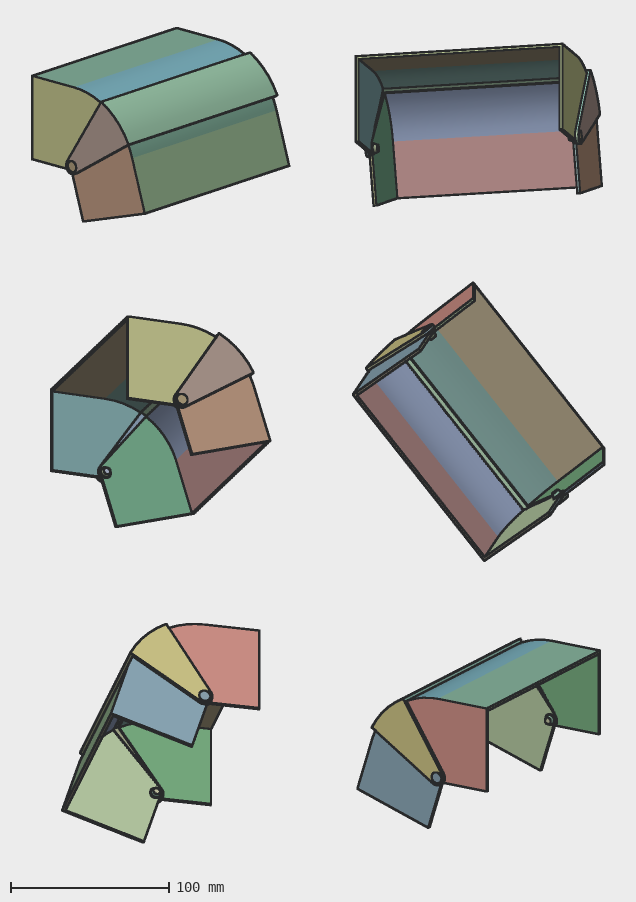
import cadquery as cq
import math

cover_width = 139.6
cover_radius = 54.5
wall = 2.0
side_clearance = 0.1
shell_width = cover_width - 2 * (wall + side_clearance)
shell_radius = 52.1
lap = wall / 2
straight_length = 36.0
skirt_drop = 3.4
ear_radius = 5.0

visor_angle = 17.4
cover_start = 57.4
cover_end = 32.6
inner_lip_start = 51.0
hood_wall_end = 55.8
hood_lip_end = 45.0

pin_radius = 3.6
pin_collar_radius = 3.2
pin_tip_radius = 2.2
pin_collar_length = 0.4
pin_tip_length = 2.7


def polar(radius, angle):
    a = math.radians(angle)
    return (radius * math.cos(a), radius * math.sin(a))


def prism(sketch, width):
    """Extrude an XZ sketch symmetrically about the Y = 0 plane."""
    return sketch.extrude(width / 2, both=True)


def fan(start, end, radius, width):
    """Round-ended fan about the hinge: straight edges tangent to the ear, arc outside."""
    reach = math.sqrt(radius**2 - ear_radius**2)
    spread = math.degrees(math.atan2(ear_radius, reach))
    middle = (start + end) / 2
    sketch = (
        cq.Workplane("XZ")
        .moveTo(*polar(ear_radius, start + 90))
        .lineTo(*polar(radius, start + spread))
        .threePointArc(polar(radius, middle), polar(radius, end - spread))
        .lineTo(*polar(ear_radius, end - 90))
        .threePointArc(polar(ear_radius, middle + 180), polar(ear_radius, start + 90))
        .close()
    )
    return prism(sketch, width)


def panel(radius, width, length, drop):
    """Straight block running to -X, closed by a quarter round on the hinge side."""
    sketch = (
        cq.Workplane("XZ")
        .moveTo(-length, -drop)
        .lineTo(-length, radius)
        .lineTo(0, radius)
        .threePointArc(polar(radius, 45), (radius, 0))
        .lineTo(0, 0)
        .lineTo(0, -drop)
        .close()
    )
    return prism(sketch, width)


def as_visor(body):
    """Mirror a hood-side body about the bisector of the two roof normals."""
    return body.mirror("YZ").rotate((0, 0, 0), (0, 1, 0), 90 - visor_angle)


def cavity(depth):
    """Space left inside the walls at the given depth below the shell's outside."""
    radius = shell_radius - depth
    width = shell_width - 2 * depth
    open_block = panel(radius, width, 2 * straight_length, shell_radius)
    core = prism(cq.Workplane("XZ").circle(radius), width)
    return open_block.union(as_visor(open_block)).union(core)


def pin_bores():
    return prism(cq.Workplane("XZ").circle(pin_radius), cover_width)


def make_hood():
    """Fixed shell with a thin outer lip that runs under the cover."""
    block = panel(shell_radius, shell_width, straight_length, skirt_drop)
    lap_space = fan(hood_wall_end, -hood_wall_end, cover_radius, cover_width)
    main = block.cut(lap_space).cut(cavity(wall))
    lip = fan(cover_start, hood_lip_end, shell_radius, shell_width).cut(cavity(lap))
    return main.union(lip).cut(pin_bores())


def make_visor(hood):
    """Swung shell joined to the cover, slotted to take the hood's lip."""
    block = as_visor(panel(shell_radius, shell_width, straight_length, skirt_drop))
    below_lip = (
        cq.Workplane("XY")
        .box(2 * cover_width, 2 * cover_width, cover_width, centered=(True, True, False))
        .translate((0, 0, -cover_width))
        .rotate((0, 0, 0), (0, 1, 0), -inner_lip_start)
    )
    shell = block.intersect(below_lip)
    shell = shell.union(fan(inner_lip_start, cover_end, shell_radius, shell_width))
    shell = shell.cut(cavity(wall))
    cover = fan(cover_start, cover_end, cover_radius, cover_width)
    cover = cover.cut(cavity(0))
    return shell.union(cover).cut(hood).cut(pin_bores())


def make_pin(side):
    """Plain pin flush with the cover, tapering where it stands inside the shell."""
    outer = cover_width / 2
    shoulder = shell_width / 2 - wall
    collar_end = shoulder - pin_collar_length
    tip = collar_end - pin_tip_length
    profile = [
        (0, outer),
        (pin_radius, outer),
        (pin_radius, shoulder),
        (pin_collar_radius, shoulder),
        (pin_collar_radius, collar_end),
        (pin_tip_radius, tip),
        (0, tip),
    ]
    pin = cq.Workplane("XY").polyline(profile).close().revolve(360, (0, 0), (0, 1))
    return pin if side > 0 else pin.mirror("XZ")


hood = make_hood()
visor = make_visor(hood)
pins = [make_pin(side) for side in (-1, 1)]

result = cq.Compound.makeCompound([hood.val(), visor.val(), *[pin.val() for pin in pins]])